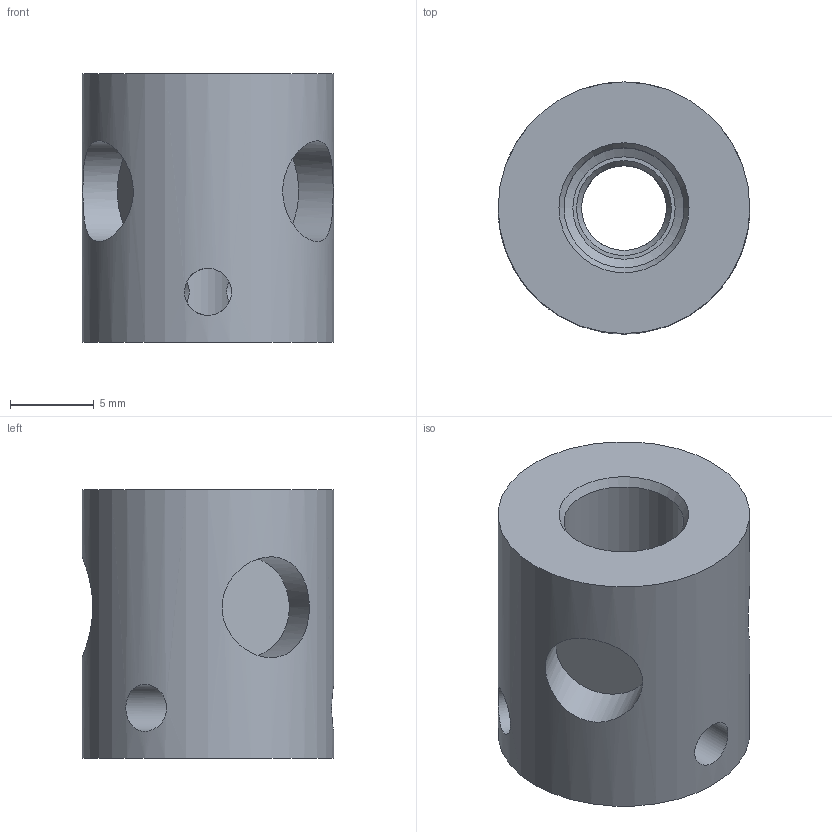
import cadquery as cq
import math

BODY_DIAMETER = 15.0
BODY_HEIGHT = 16.0

UPPER_BORE_DIAMETER = 7.15
UPPER_BORE_DEPTH = 10.0
LOWER_BORE_DIAMETER = 5.05
SHOULDER_OUTER_DIAMETER = 6.1
LEAD_IN_WIDTH = 0.3
LEAD_IN_ANGLE = 30.0
FLOOR_CONE_ANGLE = 60.0

SOCKET_DIAMETER = 6.0
SOCKET_DEPTH = 3.0
SOCKET_HEIGHT = 9.0
SOCKET_FIRST_ANGLE = 90.0

CROSS_HOLE_DIAMETER = 2.8
CROSS_HOLE_HEIGHT = 3.0
CROSS_HOLE_INNER_DISTANCE = 0.0
CROSS_HOLE_FIRST_ANGLE = 30.0

RADIAL_COUNT = 3
BODY_RADIUS = BODY_DIAMETER / 2


def bore_cutter():
    """Solid of revolution that forms the whole stepped bore."""
    upper_radius = UPPER_BORE_DIAMETER / 2
    lower_radius = LOWER_BORE_DIAMETER / 2
    shoulder_radius = SHOULDER_OUTER_DIAMETER / 2
    lead_in_depth = LEAD_IN_WIDTH / math.tan(math.radians(LEAD_IN_ANGLE))
    cone_depth = (upper_radius - shoulder_radius) / math.tan(math.radians(FLOOR_CONE_ANGLE))
    cone_top = BODY_HEIGHT - UPPER_BORE_DEPTH
    shoulder_height = cone_top - cone_depth
    return (
        cq.Workplane("XZ")
        .moveTo(0, 0)
        .lineTo(lower_radius, 0)
        .lineTo(lower_radius, shoulder_height - lead_in_depth)
        .lineTo(lower_radius + LEAD_IN_WIDTH, shoulder_height)
        .lineTo(shoulder_radius, shoulder_height)
        .lineTo(upper_radius, cone_top)
        .lineTo(upper_radius, BODY_HEIGHT - lead_in_depth)
        .lineTo(upper_radius + LEAD_IN_WIDTH, BODY_HEIGHT)
        .lineTo(0, BODY_HEIGHT)
        .close()
        .revolve(360, (0, 0, 0), (0, 1, 0))
    )


def radial_cutter(diameter, inner_distance, height, angle):
    """Cylinder running outward from inner_distance to beyond the body wall."""
    return (
        cq.Workplane("YZ")
        .workplane(offset=inner_distance)
        .center(0, height)
        .circle(diameter / 2)
        .extrude(BODY_DIAMETER)
        .rotate((0, 0, 0), (0, 0, 1), angle)
    )


def cut_radial_holes(body, diameter, inner_distance, height, first_angle):
    """Cut equally spaced radial holes at one height."""
    for index in range(RADIAL_COUNT):
        angle = first_angle + index * 360 / RADIAL_COUNT
        body = body.cut(radial_cutter(diameter, inner_distance, height, angle))
    return body


result = cq.Workplane("XY").circle(BODY_RADIUS).extrude(BODY_HEIGHT)
result = result.cut(bore_cutter())
result = cut_radial_holes(
    result, SOCKET_DIAMETER, BODY_RADIUS - SOCKET_DEPTH, SOCKET_HEIGHT, SOCKET_FIRST_ANGLE
)
result = cut_radial_holes(
    result, CROSS_HOLE_DIAMETER, CROSS_HOLE_INNER_DISTANCE, CROSS_HOLE_HEIGHT, CROSS_HOLE_FIRST_ANGLE
)